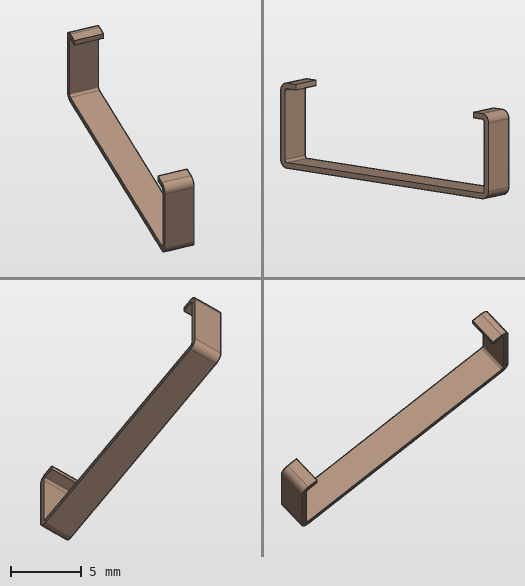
import cadquery as cq

length = 19.2
width = 2.2
height = 6.1

thickness = 0.4
inner_radius = 0.2
outer_radius = inner_radius + thickness
lip_length = 1.4


def rounded_block(block_length, block_height, corner_radius):
    """Block centred on the origin with its four Y-direction edges rounded."""
    return cq.Workplane("XY").box(block_length, width, block_height).edges("|Y").fillet(corner_radius)


outer_block = rounded_block(length, height, outer_radius)
inner_block = rounded_block(length - 2 * thickness, height - 2 * thickness, inner_radius)
loop = outer_block.cut(inner_block)

opening_length = length - 2 * lip_length
opening = (
    cq.Workplane("XY")
    .box(opening_length, width, height / 2, centered=(True, True, False))
)

result = loop.cut(opening)